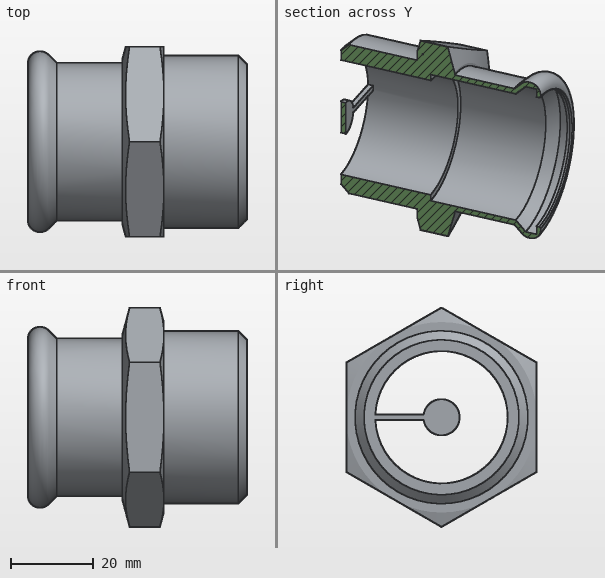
import cadquery as cq
import math

length = 53.1
hex_start = 22.85
hex_end = 32.95
socket_depth = 29.2

bead_tube_radius = 3.0
bead_outer_radius = 21.95
neck_radius = 19.2
thread_radius = 20.95
thread_chamfer = 2.2
bore_radius = 16.0
socket_radius = 17.65

lip_mouth_radius = 18.4
lip_radius = 18.05
lip_bevel_length = 0.4
lip_length = 1.15
groove_radius = 20.3
groove_floor_end = 4.0

hex_corner_radius = 26.55
hex_front_face_radius = 19.85
hex_back_face_radius = 23.05
hex_chamfer_angle = 15.0

disc_radius = 4.4
disc_thickness = 1.4
spoke_width = 1.4


def revolve_about_x(profile):
    """Turn a closed (x, radius) profile about the X axis."""
    return profile.close().revolve(360, (0, 0, 0), (1, 0, 0))


def make_outer_body():
    """Rolled bead, neck and chamfered thread barrel, without the bore."""
    bead_centre = bead_outer_radius - bead_tube_radius
    diagonal = bead_tube_radius * math.sqrt(0.5)
    bead_end_x = bead_tube_radius + diagonal
    bead_end_radius = bead_centre + diagonal
    neck_start = bead_end_x + bead_end_radius - neck_radius
    middle_angle = math.radians(67.5)
    arc_middle = (
        bead_tube_radius * (1 - math.cos(middle_angle)),
        bead_centre + bead_tube_radius * math.sin(middle_angle),
    )
    return revolve_about_x(
        cq.Workplane("XY")
        .lineTo(0, bead_centre)
        .threePointArc(arc_middle, (bead_end_x, bead_end_radius))
        .lineTo(neck_start, neck_radius)
        .lineTo(hex_end, neck_radius)
        .lineTo(hex_end, thread_radius)
        .lineTo(length - thread_chamfer, thread_radius)
        .lineTo(length, thread_radius - thread_chamfer)
        .lineTo(length, 0)
    )


def make_hexagon():
    """Hexagon with corners on +Z and -Z, chamfered by a cone at each side."""
    slope = math.tan(math.radians(hex_chamfer_angle))
    front_chamfer = (hex_corner_radius - hex_front_face_radius) * slope
    back_chamfer = (hex_corner_radius - hex_back_face_radius) * slope
    prism = (
        cq.Workplane("YZ", origin=(hex_start, 0, 0))
        .transformed(rotate=(0, 0, 90))
        .polygon(6, 2 * hex_corner_radius)
        .extrude(hex_end - hex_start)
    )
    envelope = revolve_about_x(
        cq.Workplane("XY")
        .moveTo(hex_start, 0)
        .lineTo(hex_start, hex_front_face_radius)
        .lineTo(hex_start + front_chamfer, hex_corner_radius)
        .lineTo(hex_end - back_chamfer, hex_corner_radius)
        .lineTo(hex_end, hex_back_face_radius)
        .lineTo(hex_end, 0)
    )
    return prism.intersect(envelope)


def make_cavity():
    """Lip, seal groove, socket and through bore."""
    groove_end = groove_floor_end + groove_radius - socket_radius
    return revolve_about_x(
        cq.Workplane("XY")
        .lineTo(0, lip_mouth_radius)
        .lineTo(lip_bevel_length, lip_radius)
        .lineTo(lip_length, lip_radius)
        .lineTo(lip_length, groove_radius)
        .lineTo(groove_floor_end, groove_radius)
        .lineTo(groove_end, socket_radius)
        .lineTo(socket_depth, socket_radius)
        .lineTo(socket_depth, bore_radius)
        .lineTo(length, bore_radius)
        .lineTo(length, 0)
    )


def make_centre_disc():
    """Disc on the axis, flush with the thread end, with a spoke toward -Y."""
    plane = cq.Workplane("YZ", origin=(length - disc_thickness, 0, 0))
    disc = plane.circle(disc_radius).extrude(disc_thickness)
    spoke_length = (bore_radius + thread_radius - thread_chamfer) / 2
    spoke = (
        plane.center(-spoke_length / 2, 0)
        .rect(spoke_length, spoke_width)
        .extrude(disc_thickness)
    )
    return disc.union(spoke)


result = make_outer_body().union(make_hexagon()).cut(make_cavity()).union(make_centre_disc())